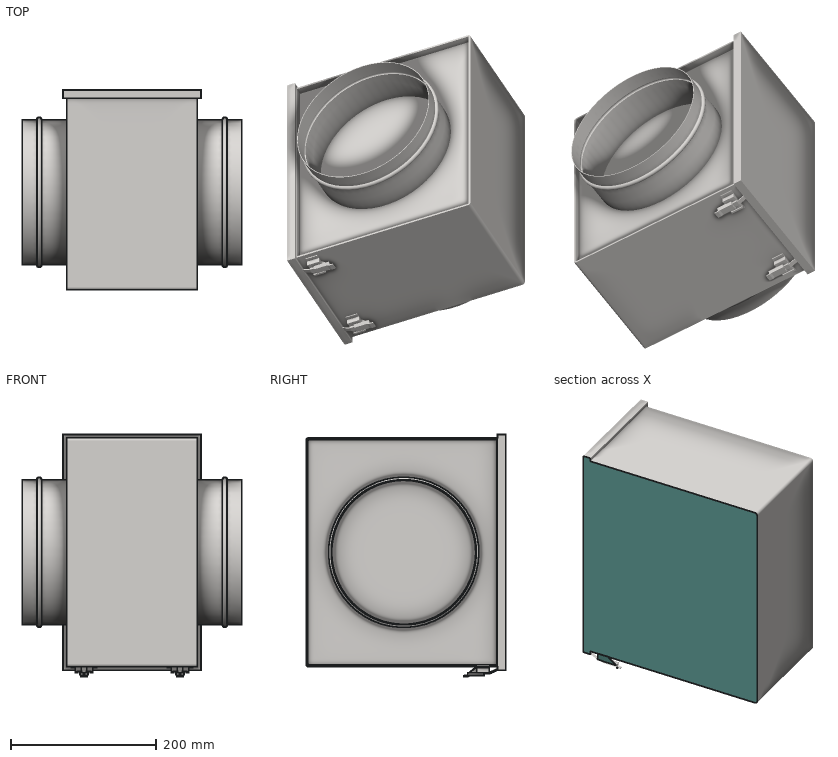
import cadquery as cq


box_width = 180.0
box_height = 315.0
box_front = -134.5
rim = 2.7
back_rim = 1.0
panel_recess = 10.7
bend_radius = 4.0

lid_overhang = 5.0
lid_thickness = 11.7
lid_back = 140.7
lid_width = box_width + 2 * lid_overhang
lid_height = box_height + 2 * lid_overhang
lid_front = lid_back - lid_thickness

spigot_radius = 100.0
spigot_wall = 1.0
spigot_end = 151.0
bead_radius = 3.5
bead_inset = 23.5
mouth_depth = 4.7

latch_offset = 66.0
base_width = 35.0
base_thickness = 1.5
block_width = 24.5
block_back = 118.0
block_front = 100.5
block_drop = 6.7
ear_width = 2.7
ear_drop = 8.5
hook_width = 6.0
hook_thickness = 1.7
hook_top = 3.0
hook_end = 110.0
cheek_width = 7.5
cheek_lap = 3.5
lever_width = 13.5
lever_foot_width = 9.5
lever_back = 110.7
lever_front = 88.0
lever_top = 8.0
lever_drop = 12.5
lever_bore_radius = 1.0
lever_bore_drop = 11.0
tab_back = 91.5
tab_end = 82.7
tab_drop = 13.7
tab_thickness = 1.5

bottom = -box_height / 2
panel_x = box_width / 2 - panel_recess
bore_radius = spigot_radius - spigot_wall


def block(x_size, y_min, y_max, z_min, z_max):
    """Box centred on X between the given Y and Z limits."""
    return (
        cq.Workplane("XY")
        .box(x_size, y_max - y_min, z_max - z_min, centered=(True, False, False))
        .translate((0, y_min, z_min))
    )


def side_profile(width, points):
    """YZ outline extruded along X, centred on the YZ plane."""
    return cq.Workplane("YZ").polyline(points).close().extrude(width / 2, both=True)


def make_casing():
    """Closed box whose two side panels sit below a thin rim."""
    casing = block(box_width, box_front, lid_front, bottom, -bottom)
    casing = casing.edges("|X and <Y").fillet(bend_radius)
    for side in (-1, 1):
        pocket = block(
            panel_recess, box_front + rim, lid_front - back_rim, bottom + rim, -bottom - rim
        )
        pocket = pocket.edges("|X and <Y").fillet(bend_radius - rim)
        casing = casing.cut(pocket.translate((side * (panel_x + panel_recess / 2), 0, 0)))
    return casing


def make_spigot():
    """Thin duct on the +X side with a rolled bead near its open end."""
    bead_x = spigot_end - bead_inset
    inner_bead = bead_radius - spigot_wall
    profile = (
        cq.Workplane("XZ")
        .moveTo(panel_x, bore_radius)
        .lineTo(bead_x - inner_bead, bore_radius)
        .threePointArc((bead_x, bore_radius + inner_bead), (bead_x + inner_bead, bore_radius))
        .lineTo(spigot_end, bore_radius)
        .lineTo(spigot_end, spigot_radius)
        .lineTo(bead_x + bead_radius, spigot_radius)
        .threePointArc((bead_x, spigot_radius + bead_radius), (bead_x - bead_radius, spigot_radius))
        .lineTo(panel_x, spigot_radius)
        .close()
    )
    return profile.revolve(360, (0, 0, 0), (1, 0, 0))


def make_mouth():
    """Shallow blind recess that continues the duct bore into the +X side panel."""
    return (
        cq.Workplane("YZ", origin=(panel_x - mouth_depth, 0, 0))
        .circle(bore_radius)
        .extrude(mouth_depth)
    )


def make_housing():
    """Box, lid and both duct spigots as one body."""
    lid = block(lid_width, lid_front, lid_back, -lid_height / 2, lid_height / 2)
    spigot = make_spigot()
    mouth = make_mouth()
    housing = make_casing().union(lid)
    housing = housing.union(spigot).union(spigot.mirror("YZ"))
    return housing.cut(mouth).cut(mouth.mirror("YZ"))


def make_lever():
    """Tapered bar, bored along Y, with a finger tab below its front end."""
    bar = (
        cq.Workplane("XZ", origin=(0, lever_back, bottom))
        .polyline([
            (-lever_width / 2, -lever_top),
            (lever_width / 2, -lever_top),
            (lever_foot_width / 2, -lever_drop),
            (-lever_foot_width / 2, -lever_drop),
        ])
        .close()
        .extrude(lever_back - lever_front)
    )
    bore = (
        cq.Workplane("XZ", origin=(0, lever_back, bottom - lever_bore_drop))
        .circle(lever_bore_radius)
        .extrude(lever_back - tab_end)
    )
    tab = side_profile(lever_foot_width, [
        (tab_back, bottom - lever_drop + tab_thickness),
        (tab_end, bottom - tab_drop + tab_thickness),
        (tab_end, bottom - tab_drop),
        (lever_front, bottom - tab_drop),
        (tab_back, bottom - lever_drop),
    ])
    return bar.union(tab).cut(bore)


def make_latch():
    """Toggle latch under the box, centred on the YZ plane."""
    base = block(base_width, block_front, block_back, bottom - base_thickness, bottom)
    body = block(block_width, block_front, block_back, bottom - block_drop, bottom)
    hook = side_profile(hook_width, [
        (lid_front, bottom - hook_top),
        (block_back, bottom - lever_top),
        (hook_end, bottom - lever_top),
        (hook_end, bottom - lever_top - hook_thickness),
        (block_back, bottom - lever_top - hook_thickness),
        (lid_front, bottom - hook_top - hook_thickness),
    ])
    cheek = side_profile(cheek_width, [
        (block_front, bottom),
        (lever_front, bottom - lever_top - hook_thickness),
        (block_back, bottom - lever_top - hook_thickness),
        (block_back, bottom - block_drop),
        (block_front + cheek_lap, bottom),
    ])
    latch = base.union(body)
    for side in (-1, 1):
        ear = block(ear_width, block_front, block_back, bottom - ear_drop, bottom)
        latch = latch.union(ear.translate((side * (block_width - ear_width) / 2, 0, 0)))
    return latch.union(cheek).union(hook).union(make_lever())


housing = make_housing()
latches = [make_latch().translate((side * latch_offset, 0, 0)) for side in (-1, 1)]

result = cq.Compound.makeCompound([housing.val(), *[latch.val() for latch in latches]])